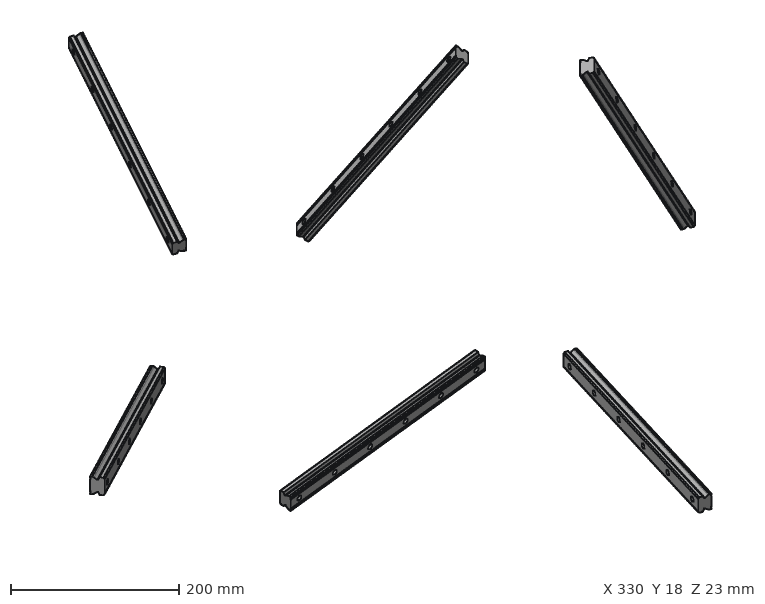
import cadquery as cq

length = 330.0
depth = 18.0
height = 23.0
front = -depth / 2
back = depth / 2
top = height / 2

front_chamfer = 1.5

groove_depth = 3.5
groove_front_edge = 6.3
groove_floor_front = 8.2
groove_floor_width = 1.0
shoulder_from_back = 4.5
shoulder_drop = 0.5

lip_top_width = 3.0
lip_chamfer = 0.3
lip_height = 1.3
relief_depth = 0.5
relief_start = 2.0
relief_floor_end = 3.0
relief_end = 4.0

hole_count = 6
hole_pitch = 60.0
hole_diameter = 7.0


def make_profile():
    """Half outline from front to back, mirrored about the middle plane."""
    groove_floor = top - groove_depth
    floor_start = front + groove_floor_front
    upper_points = [
        (front, top - front_chamfer),
        (front + front_chamfer, top),
        (front + groove_front_edge, top),
        (floor_start, groove_floor),
        (floor_start + groove_floor_width, groove_floor),
        (back - shoulder_from_back, top - shoulder_drop),
        (back - lip_top_width, top),
        (back - lip_chamfer, top),
        (back, top - lip_chamfer),
        (back, top - lip_height),
        (back - relief_depth, top - relief_start),
        (back - relief_depth, top - relief_floor_end),
        (back, top - relief_end),
    ]
    lower_points = [(y, -z) for y, z in reversed(upper_points)]
    return cq.Workplane("YZ").polyline(upper_points + lower_points).close()


def make_holes():
    """Evenly spaced cylinders crossing the rail from front to back."""
    return (
        cq.Workplane("XZ")
        .rarray(hole_pitch, 3.3, hole_count, 1)
        .circle(hole_diameter / 2)
        .extrude(depth / 2, both=True)
    )


rail = make_profile().extrude(length / 2, both=True)
result = rail.cut(make_holes())